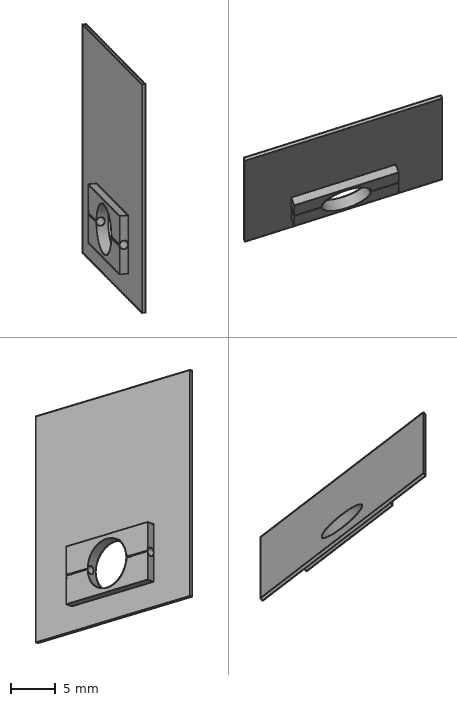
import cadquery as cq
import math

plate_width = 23.3
plate_height = 26.8
plate_thickness = 0.4

block_width = 12.33
block_height = 6.83
block_thickness = 1.0
bore_height = 6.38

window_diameter = 5.82

slit_width = 0.1
bore_diameter = math.hypot(block_thickness, slit_width)


def make_plate():
    return cq.Workplane("XY").box(
        plate_width, plate_thickness, plate_height, centered=(True, False, False)
    )


def make_block():
    return (
        cq.Workplane("XY")
        .box(block_width, block_thickness, block_height)
        .translate((0, -block_thickness / 2, bore_height))
    )


def make_window():
    depth = block_thickness + plate_thickness
    return (
        cq.Workplane("XZ", origin=(0, plate_thickness, bore_height))
        .circle(window_diameter / 2)
        .extrude(depth)
    )


def make_cross_bore():
    return (
        cq.Workplane("YZ", origin=(0, -block_thickness / 2, bore_height))
        .circle(bore_diameter / 2)
        .extrude(plate_width / 2, both=True)
    )


result = make_plate().union(make_block()).cut(make_window()).cut(make_cross_bore())